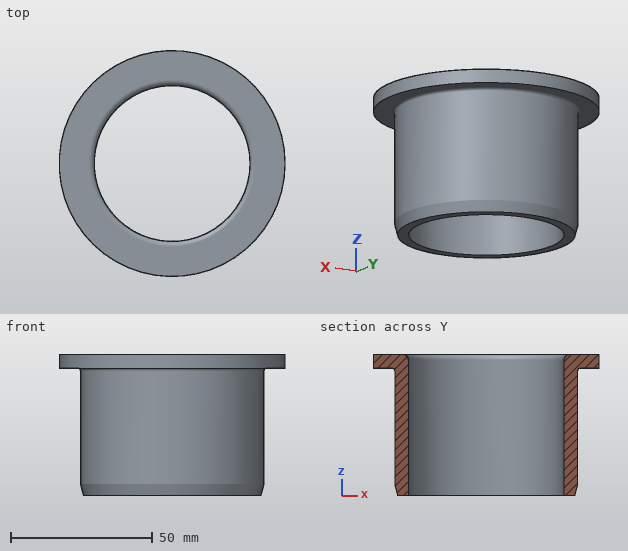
import cadquery as cq
import math

flange_diameter = 80.0
sleeve_diameter = 65.0
bore_diameter = 55.0
total_height = 50.0
flange_thickness = 5.0
neck_fillet = 1.0
mouth_fillet = 2.0
lead_in_height = 4.0
lead_in_angle = 15.0

flange_radius = flange_diameter / 2
sleeve_radius = sleeve_diameter / 2
bore_radius = bore_diameter / 2
tip_radius = sleeve_radius - lead_in_height * math.tan(math.radians(lead_in_angle))
flange_underside = total_height - flange_thickness

half_section = (
    cq.Workplane("XZ")
    .moveTo(bore_radius, 0)
    .lineTo(tip_radius, 0)
    .lineTo(sleeve_radius, lead_in_height)
    .lineTo(sleeve_radius, flange_underside - neck_fillet)
    .radiusArc((sleeve_radius + neck_fillet, flange_underside), neck_fillet)
    .lineTo(flange_radius, flange_underside)
    .lineTo(flange_radius, total_height)
    .lineTo(bore_radius + mouth_fillet, total_height)
    .radiusArc((bore_radius, total_height - mouth_fillet), -mouth_fillet)
    .close()
)

result = half_section.revolve(360, (0, 0, 0), (0, 1, 0))